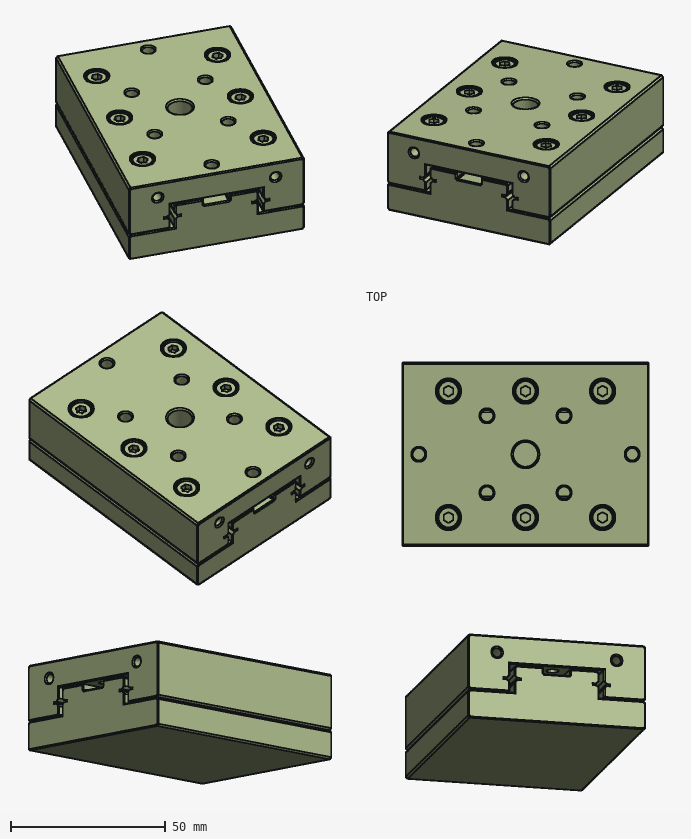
import cadquery as cq
import math

LENGTH = 80.0
WIDTH = 59.5
HEIGHT = 28.0

CLEARANCE_BELOW = 0.2
CLEARANCE_ABOVE = 0.5

LONG_CHAMFER = 0.6
END_CHAMFER = 0.4

BASE_PLATE_TOP = 9.4
RAIL_TOP = 18.5
RAIL_SLOT_WIDTH = 9.0
RAIL_SLOT_FLOOR = 16.3
RAIL_SLOT_CORNER = 0.4

TABLE_BOTTOM = BASE_PLATE_TOP + CLEARANCE_BELOW
CHANNEL_CEILING = RAIL_TOP + CLEARANCE_ABOVE
CHANNEL_LIP_CHAMFER = 0.4

RACE_Y = 15.0
RACE_Z = HEIGHT / 2
SIDE_GAP = 1.5
RACE_HALF_DIAGONAL = 2.1
RELIEF_REACH = 3.0
RELIEF_THICKNESS = 0.7
RAIL_WIDTH = 2 * RACE_Y - SIDE_GAP
CHANNEL_WIDTH = 2 * RACE_Y + SIDE_GAP

SCREW_PITCH_X = 25.0
SCREW_Y = 20.5
MOUNT_HOLE_OFFSET = 12.5
END_HOLE_X = 34.6
SIDE_HOLE_Y = 20.0
SIDE_HOLE_Z = 22.5

CENTER_BORE_DIAMETER = 8.0
CENTER_BORE_MOUTH = 9.1
SMALL_HOLE_DIAMETER = 4.0
SMALL_HOLE_MOUTH = 5.0
SIDE_HOLE_DIAMETER = 3.0
SIDE_HOLE_MOUTH = 4.0
SIDE_HOLE_DEPTH = 8.0
DRILL_POINT_ANGLE = 118.0

COUNTERBORE_DIAMETER = 7.8
COUNTERBORE_MOUTH = 8.3
COUNTERBORE_DEPTH = 4.4
HEAD_DIAMETER = 7.4
HEAD_RECESS = 0.4
HEAD_CHAMFER = 0.5
HEX_ACROSS_FLATS = 3.0
HEX_DEPTH = 2.0


def box_along_x(width, bottom, top):
    """Full-length bar, centred in X and Y, between two heights."""
    plane = cq.Workplane("XY", origin=(0, 0, bottom))
    return plane.box(LENGTH, width, top - bottom, centered=(True, True, False))


def chamfered_plate(bottom, top):
    """Full-width plate with its four long edges chamfered."""
    return box_along_x(WIDTH, bottom, top).edges("|X").chamfer(LONG_CHAMFER)


def chamfer_ends(body):
    """Chamfer the whole outline of both end faces."""
    return body.faces("<X or >X").edges().chamfer(END_CHAMFER)


def raceways():
    """Square V-grooves with a thin relief slot, one in each side gap."""
    centers = [(-RACE_Y, RACE_Z), (RACE_Y, RACE_Z)]
    plane = cq.Workplane("YZ", origin=(-LENGTH / 2, 0, 0)).pushPoints(centers)
    grooves = plane.polygon(4, 2 * RACE_HALF_DIAGONAL).extrude(LENGTH)
    reliefs = plane.rect(2 * RELIEF_REACH, RELIEF_THICKNESS).extrude(LENGTH)
    return grooves.union(reliefs)


def make_base():
    rail = box_along_x(RAIL_WIDTH, 0, RAIL_TOP).edges("|X and >Z").chamfer(LONG_CHAMFER)
    slot = box_along_x(RAIL_SLOT_WIDTH, RAIL_SLOT_FLOOR, HEIGHT).edges("|X and <Z").chamfer(RAIL_SLOT_CORNER)
    base = chamfered_plate(0, BASE_PLATE_TOP).union(rail).cut(slot)
    return chamfer_ends(base).cut(raceways())


def drilled_hole(diameter, mouth, depth):
    """Cutter pointing down from Z = 0, with a 45 degree countersunk mouth."""
    mouth_depth = (mouth - diameter) / 2
    bore = cq.Workplane("XY").circle(diameter / 2).extrude(-depth)
    countersink = cq.Workplane("XY").circle(mouth / 2).extrude(-mouth_depth, taper=45)
    return bore.union(countersink)


def table_holes():
    """Vertical holes that run from the top face into the channel."""
    depth = HEIGHT - CHANNEL_CEILING
    small_hole = drilled_hole(SMALL_HOLE_DIAMETER, SMALL_HOLE_MOUTH, depth)
    positions = [(-END_HOLE_X, 0), (END_HOLE_X, 0)]
    positions += [(sx * MOUNT_HOLE_OFFSET, sy * MOUNT_HOLE_OFFSET) for sx in (-1, 1) for sy in (-1, 1)]
    holes = drilled_hole(CENTER_BORE_DIAMETER, CENTER_BORE_MOUTH, depth)
    for x, y in positions:
        holes = holes.union(small_hole.translate((x, y, 0)))
    return holes.translate((0, 0, HEIGHT))


def side_holes():
    """Blind drilled holes with conical bottoms, two in each end face."""
    radius = SIDE_HOLE_DIAMETER / 2
    mouth_radius = SIDE_HOLE_MOUTH / 2
    tip = SIDE_HOLE_DEPTH + radius / math.tan(math.radians(DRILL_POINT_ANGLE / 2))
    outline = [
        (0, 0),
        (mouth_radius, 0),
        (radius, radius - mouth_radius),
        (radius, -SIDE_HOLE_DEPTH),
        (0, -tip),
    ]
    hole = cq.Workplane("XZ").polyline(outline).close().revolve(360, (0, 0, 0), (0, 1, 0))
    holes = cq.Workplane("XY")
    for side in (-1, 1):
        turned = hole.rotate((0, 0, 0), (0, 1, 0), side * 90)
        for y in (-SIDE_HOLE_Y, SIDE_HOLE_Y):
            holes = holes.add(turned.translate((side * LENGTH / 2, y, SIDE_HOLE_Z)))
    return holes.combine()


def screw_pocket():
    """Ring-shaped cutter that leaves a socket screw head standing in its counterbore."""
    head_height = COUNTERBORE_DEPTH - HEAD_RECESS
    floor = cq.Workplane("XY", origin=(0, 0, -COUNTERBORE_DEPTH))
    head = floor.circle(HEAD_DIAMETER / 2).extrude(head_height)
    head = head.faces(">Z").chamfer(HEAD_CHAMFER)
    hex_across_corners = HEX_ACROSS_FLATS / math.cos(math.radians(30))
    socket = (
        cq.Workplane("XY", origin=(0, 0, -HEAD_RECESS))
        .transformed(rotate=(0, 0, 90))
        .polygon(6, hex_across_corners)
        .extrude(-HEX_DEPTH)
    )
    pocket = drilled_hole(COUNTERBORE_DIAMETER, COUNTERBORE_MOUTH, COUNTERBORE_DEPTH)
    return pocket.cut(head).union(socket)


def make_table():
    channel = box_along_x(CHANNEL_WIDTH, 0, CHANNEL_CEILING)
    table = chamfered_plate(TABLE_BOTTOM, HEIGHT).cut(channel)
    for lip_y in (-CHANNEL_WIDTH / 2, CHANNEL_WIDTH / 2):
        lip = cq.NearestToPointSelector((0, lip_y, TABLE_BOTTOM))
        table = table.edges(lip).chamfer(CHANNEL_LIP_CHAMFER)
    table = chamfer_ends(table)
    table = table.cut(raceways()).cut(table_holes()).cut(side_holes())
    pocket = screw_pocket()
    for x in (-SCREW_PITCH_X, 0, SCREW_PITCH_X):
        for y in (-SCREW_Y, SCREW_Y):
            table = table.cut(pocket.translate((x, y, HEIGHT)))
    return table


base = make_base()
table = make_table()
result = cq.Compound.makeCompound([base.val(), table.val()])